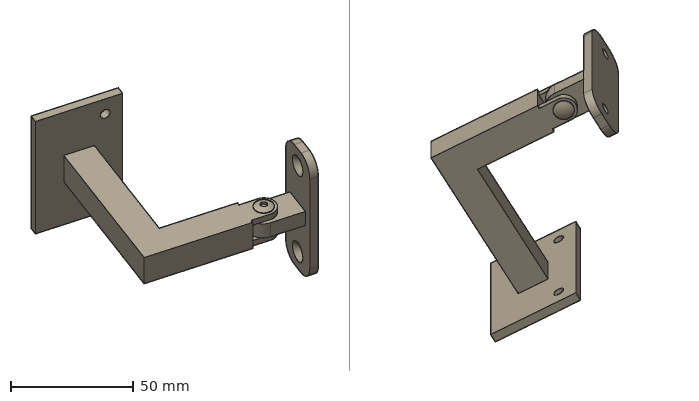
import cadquery as cq
import math

overall_x = 81.0
overall_y = 91.0
plate_thickness = 4.0
screw_hole_diameter = 4.5

wall_width = 22.0
wall_height = 64.0
wall_corner_radius = 8.0
wall_hole_spacing = 46.05
countersink_diameter = 9.5
countersink_angle = 90

rail_depth = 40.0
rail_height = 60.1
rail_hole_inset = 8.0

bar_size = 14.0
shoulder_to_wall = 28.0
fork_width = 11.1
fork_tip_radius = 5.6
slot_width = 8.2

eye_thickness = 7.5
eye_center_to_wall = 20.0

pivot_to_wall = 19.6
pin_diameter = 4.55
head_diameter = 8.7
head_height = 1.4
head_rim_height = 0.3
socket_diameter = 3.0
socket_depth = 1.4

pivot_x = overall_x - wall_width / 2
pivot_y = overall_y - pivot_to_wall
wall_face_y = overall_y - plate_thickness
shoulder_y = overall_y - shoulder_to_wall
bar_right = pivot_x + bar_size / 2
bar_front = (rail_depth - bar_size) / 2


def box(x0, x1, y0, y1, height):
    """Box between X and Y limits, centred on Z = 0."""
    size_x = x1 - x0
    size_y = y1 - y0
    return cq.Workplane("XY").box(size_x, size_y, height).translate((x0 + size_x / 2, y0 + size_y / 2, 0))


def disc(x, y, diameter, height):
    """Upright cylinder centred on Z = 0."""
    return cq.Workplane("XY", origin=(x, y, -height / 2)).circle(diameter / 2).extrude(height)


def make_wall_bracket():
    """Rounded wall plate with countersunk holes and a pierced eye."""
    plate = box(pivot_x - wall_width / 2, overall_x, wall_face_y, overall_y, wall_height)
    plate = plate.edges("|Y").fillet(wall_corner_radius)
    plate = (
        plate.faces("<Y")
        .workplane(centerOption="CenterOfBoundBox")
        .pushPoints([(0, -wall_hole_spacing / 2), (0, wall_hole_spacing / 2)])
        .cskHole(screw_hole_diameter, countersink_diameter, countersink_angle)
    )
    eye_center_y = overall_y - eye_center_to_wall
    shank = box(pivot_x - bar_size / 2, bar_right, eye_center_y, wall_face_y, eye_thickness)
    eye = shank.union(disc(pivot_x, eye_center_y, bar_size, eye_thickness))
    eye = eye.cut(disc(pivot_x, pivot_y, pin_diameter, eye_thickness))
    return plate.union(eye)


def make_rail_plate():
    """Rectangular plate with two through holes near its wall-side edge."""
    plate = box(0, plate_thickness, 0, rail_depth, rail_height)
    hole_y = rail_depth - rail_hole_inset
    hole_z = rail_height / 2 - rail_hole_inset
    holes = (
        cq.Workplane("YZ")
        .pushPoints([(hole_y, -hole_z), (hole_y, hole_z)])
        .circle(screw_hole_diameter / 2)
        .extrude(plate_thickness)
    )
    return plate.cut(holes)


def make_fork():
    """Two narrowed cheeks whose rounded tips are centred on the pivot."""
    half_width = fork_width / 2
    side_end_y = pivot_y + math.sqrt(fork_tip_radius**2 - half_width**2)
    profile = (
        cq.Workplane("XY", origin=(0, 0, -bar_size / 2))
        .moveTo(pivot_x - half_width, shoulder_y)
        .lineTo(pivot_x - half_width, side_end_y)
        .threePointArc((pivot_x, pivot_y + fork_tip_radius), (pivot_x + half_width, side_end_y))
        .lineTo(pivot_x + half_width, shoulder_y)
        .close()
    )
    slot = box(pivot_x - half_width, pivot_x + half_width, shoulder_y, wall_face_y, slot_width)
    return profile.extrude(bar_size).cut(slot)


def make_pin():
    """Pin with a domed head at each end and a blind round socket in the upper head."""
    head_base = bar_size / 2
    head_top = head_base + head_height
    head_radius = head_diameter / 2
    dome_height = head_height - head_rim_height
    dome_radius = (head_radius**2 + dome_height**2) / (2 * dome_height)
    dome_center = head_top - dome_radius
    mid_radius = head_radius / 2
    mid_height = dome_center + math.sqrt(dome_radius**2 - mid_radius**2)
    head = (
        cq.Workplane("XZ")
        .moveTo(0, head_base)
        .lineTo(head_radius, head_base)
        .lineTo(head_radius, head_base + head_rim_height)
        .threePointArc((mid_radius, mid_height), (0, head_top))
        .close()
        .revolve(360, (0, 0), (0, 1))
        .translate((pivot_x, pivot_y, 0))
    )
    socket = (
        cq.Workplane("XY", origin=(pivot_x, pivot_y, head_top - socket_depth))
        .circle(socket_diameter / 2)
        .extrude(socket_depth)
    )
    shaft = disc(pivot_x, pivot_y, pin_diameter, bar_size)
    return shaft.union(head.cut(socket)).union(head.mirror("XY"))


def make_rail_arm():
    """Rail plate, right-angled bar, fork and pivot pin as one solid."""
    cross_bar = box(plate_thickness, bar_right, bar_front, bar_front + bar_size, bar_size)
    wall_bar = box(bar_right - bar_size, bar_right, bar_front, shoulder_y, bar_size)
    arm = make_rail_plate().union(cross_bar.union(wall_bar).clean())
    return arm.union(make_fork()).union(make_pin())


wall_bracket = make_wall_bracket()
rail_arm = make_rail_arm()

result = cq.Compound.makeCompound([wall_bracket.solids().val(), rail_arm.solids().val()])